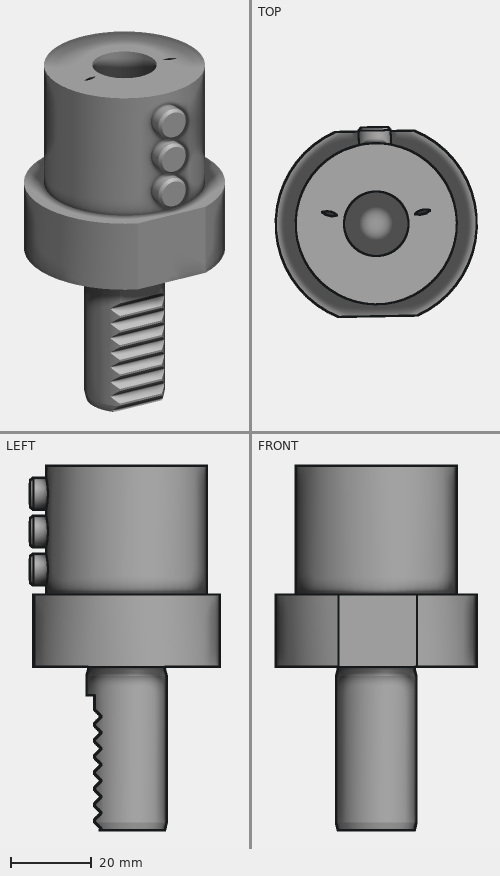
import cadquery as cq

total_height = 90.6
head_diameter = 40.0
head_height = 32.0
flange_diameter = 50.0
flange_height = 18.0
flats_width = 46.0
flange_top = total_height - head_height
flange_bottom = flange_top - flange_height

turn_angle = 1.0

bore_diameter = 16.0
bore_depth = 40.0

shank_diameter = 20.0
undercut_diameter = 19.1
undercut_height = 1.0
undercut_rim_diameter = 19.3
undercut_slope_height = undercut_height / 3
shoulder_taper_height = 1.3
lead_diameter = 19.1
lead_height = 1.9

flat_offset = 8.0
flat_top = 33.5
tooth_pitch = 4.0
groove_depth = 1.6
groove_root_width = 0.2
groove_count = 8
first_groove_height = 0.4

screw_diameter = 8.0
screw_tip = 24.0
screw_chamfer_length = 0.8
screw_chamfer_width = 0.6
first_screw_depth = 7.0
screw_pitch = 9.4
screw_count = 3

recess_radius = 11.9
recess_angle = 13.2
recess_length = 3.8
recess_width = 1.1
recess_depth = 1.4
recess_shift = 1.0


def cylinder(diameter, bottom, height):
    return cq.Workplane("XY").workplane(offset=bottom).circle(diameter / 2).extrude(height)


def make_flange():
    flats = cq.Workplane("XY").workplane(offset=flange_bottom)
    flats = flats.rect(flange_diameter, flats_width).extrude(flange_height)
    return cylinder(flange_diameter, flange_bottom, flange_height).intersect(flats)


def make_shank():
    undercut_bottom = flange_bottom - undercut_height
    profile = (
        cq.Workplane("XZ")
        .moveTo(0, 0)
        .lineTo(lead_diameter / 2, 0)
        .lineTo(shank_diameter / 2, lead_height)
        .lineTo(shank_diameter / 2, undercut_bottom - shoulder_taper_height)
        .lineTo(undercut_rim_diameter / 2, undercut_bottom)
        .lineTo(undercut_diameter / 2, undercut_bottom + undercut_slope_height)
        .lineTo(undercut_diameter / 2, flange_bottom - undercut_slope_height)
        .lineTo(undercut_rim_diameter / 2, flange_bottom)
        .lineTo(0, flange_bottom)
        .close()
    )
    return profile.revolve(360, (0, 0, 0), (0, 1, 0))


def make_flat_cutter():
    cut_thickness = shank_diameter / 2
    cutter = cq.Workplane("XY").box(
        shank_diameter, cut_thickness, flat_top, centered=(True, False, False)
    )
    return cutter.translate((0, flat_offset, 0))


def make_groove_cutter(height):
    root_half = groove_root_width / 2
    mouth_half = root_half + groove_depth
    return (
        cq.Workplane("YZ")
        .moveTo(flat_offset - groove_depth, height - root_half)
        .lineTo(flat_offset, height - mouth_half)
        .lineTo(flat_offset, height + mouth_half)
        .lineTo(flat_offset - groove_depth, height + root_half)
        .close()
        .extrude(shank_diameter / 2, both=True)
    )


def make_screw(height):
    screw_start = (bore_diameter + head_diameter) / 4
    radius = screw_diameter / 2
    profile = (
        cq.Workplane("XY")
        .moveTo(0, screw_start)
        .lineTo(radius, screw_start)
        .lineTo(radius, screw_tip - screw_chamfer_length)
        .lineTo(radius - screw_chamfer_width, screw_tip)
        .lineTo(0, screw_tip)
        .close()
    )
    return profile.revolve(360, (0, 0, 0), (0, 1, 0)).translate((0, 0, height))


def make_recess_cutter():
    inner = recess_radius - recess_length / 2
    outer = recess_radius + recess_length / 2
    half_width = recess_width / 2
    lens = (
        cq.Workplane("XY")
        .moveTo(inner, 0)
        .threePointArc((recess_radius, half_width), (outer, 0))
        .threePointArc((recess_radius, -half_width), (inner, 0))
        .close()
    )
    mouth = lens.wire().val().translate(cq.Vector(0, 0, total_height))
    floor = mouth.translate(cq.Vector(0, -recess_shift, -recess_depth))
    cutter = cq.Workplane(cq.Solid.makeLoft([floor, mouth], True))
    return cutter.rotate((0, 0, 0), (0, 0, 1), recess_angle)


shank = make_shank().cut(make_flat_cutter())
for index in range(groove_count):
    shank = shank.cut(make_groove_cutter(first_groove_height + index * tooth_pitch))

body = cylinder(head_diameter, flange_top, head_height).union(make_flange()).union(shank)
body = body.cut(cylinder(bore_diameter, total_height - bore_depth, bore_depth))

for index in range(screw_count):
    body = body.union(make_screw(total_height - first_screw_depth - index * screw_pitch))

recess_cutter = make_recess_cutter()
body = body.cut(recess_cutter).cut(recess_cutter.mirror("YZ"))

result = body.rotate((0, 0, 0), (0, 0, 1), turn_angle)